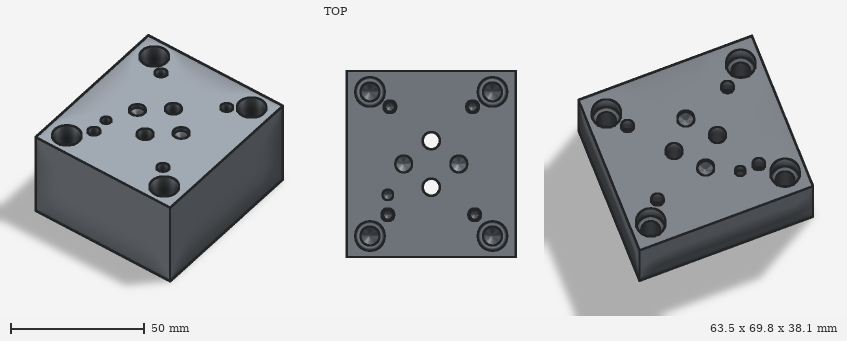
import cadquery as cq
import math

LENGTH_X = 63.5
LENGTH_Y = 69.85
HEIGHT = 38.1

DRILL_POINT_ANGLE = 120.0

CORNER_X = 23.0
CORNER_Y = 27.0
CORNER_BORE_DIAMETER = 11.1
CORNER_BORE_DEPTH = 9.8
CORNER_HOLE_DIAMETER = 7.1
CORNER_HOLE_DEPTH = 27.95

REAR_SCREW_X = 15.5
REAR_SCREW_Y = 21.45
FRONT_SCREW_X = 16.3
FRONT_SCREW_Y = -19.1
THREAD_DIAMETER = 4.8
THREAD_DEPTH = 11.2
TAP_DRILL_DIAMETER = 3.8
TAP_DRILL_DEPTH = 14.0

PIN_X = -FRONT_SCREW_X
PIN_Y = -11.6
PIN_DIAMETER = 4.0
PIN_DEPTH = 5.6

PORT_DIAMETER = 6.35
BLIND_PORT_X = 10.35
BLIND_PORT_DEPTH = 1.9
THROUGH_PORT_Y = 8.7


def flat_hole(x, y, diameter, depth):
    """Cutter for a flat-bottomed hole from the top face."""
    return cq.Workplane("XY", origin=(x, y, HEIGHT)).circle(diameter / 2).extrude(-depth)


def drilled_hole(x, y, diameter, depth):
    """Cutter for a blind hole from the top face: full diameter down to depth, then a drill point."""
    radius = diameter / 2
    point_height = radius / math.tan(math.radians(DRILL_POINT_ANGLE / 2))
    half_section = (
        cq.Workplane("XZ")
        .moveTo(0, HEIGHT)
        .lineTo(radius, HEIGHT)
        .lineTo(radius, HEIGHT - depth)
        .lineTo(0, HEIGHT - depth - point_height)
        .close()
    )
    return half_section.revolve(360, (0, 0), (0, 1)).translate((x, y, 0))


def corner_hole(x, y):
    """Cutter for a wide bore with a narrower drilled hole below it."""
    bore = flat_hole(x, y, CORNER_BORE_DIAMETER, CORNER_BORE_DEPTH)
    return bore.union(drilled_hole(x, y, CORNER_HOLE_DIAMETER, CORNER_HOLE_DEPTH))


def screw_hole(x, y):
    """Cutter for a tapped hole: plain thread cylinder over its tap drill."""
    thread = flat_hole(x, y, THREAD_DIAMETER, THREAD_DEPTH)
    return thread.union(drilled_hole(x, y, TAP_DRILL_DIAMETER, TAP_DRILL_DEPTH))


result = cq.Workplane("XY").box(LENGTH_X, LENGTH_Y, HEIGHT, centered=(True, True, False))

result = result.cut(drilled_hole(PIN_X, PIN_Y, PIN_DIAMETER, PIN_DEPTH))

for side in (-1, 1):
    for end in (-1, 1):
        result = result.cut(corner_hole(side * CORNER_X, end * CORNER_Y))
    result = result.cut(screw_hole(side * REAR_SCREW_X, REAR_SCREW_Y))
    result = result.cut(screw_hole(side * FRONT_SCREW_X, FRONT_SCREW_Y))
    result = result.cut(drilled_hole(side * BLIND_PORT_X, 0, PORT_DIAMETER, BLIND_PORT_DEPTH))
    result = result.cut(flat_hole(0, side * THROUGH_PORT_Y, PORT_DIAMETER, HEIGHT))